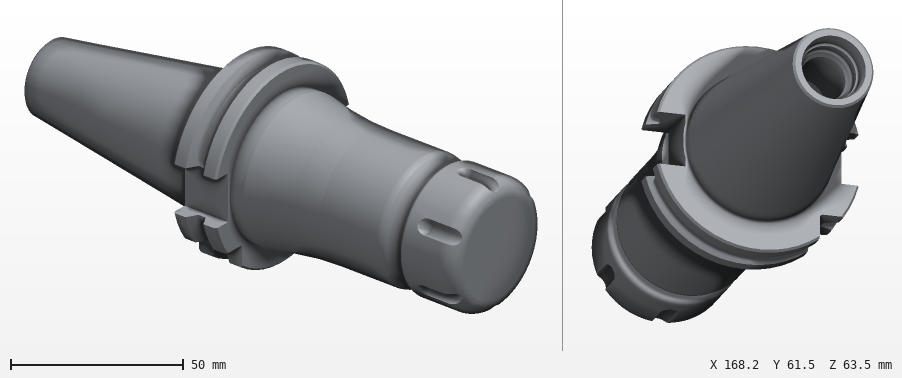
import cadquery as cq
import math

TOTAL_LENGTH = 168.2

TAPER_END_RADIUS = 12.3
TAPER_TOP_X = 68.0
GAUGE_RADIUS = 22.2
TAPER_BLEND_RADIUS = 6.7
END_CHAMFER = 0.7
FLANGE_ROOT_FILLET = 0.7

FLANGE_START_X = 71.3
FLANGE_END_X = 87.5
FLANGE_DIAMETER = 63.5
FLANGE_RADIUS = FLANGE_DIAMETER / 2
FLANGE_CHAMFER = 0.7
GROOVE_CENTRE_X = 79.4
GROOVE_TOP_WIDTH = 6.7
GROOVE_FLOOR_RADIUS = 28.3
GROOVE_HALF_ANGLE = 30.0
GROOVE_FLOOR_FILLET = 0.5

KEYWAY_WIDTH = 16.0
FRONT_KEYWAY_FLOOR = 25.2
BACK_KEYWAY_FLOOR = 22.2
NOTCH_INNER_Y = 18.7
NOTCH_TOP_Z = -18.2
NOTCH_FILLET = 1.0

COLLAR_RADIUS = 24.2
COLLAR_END_X = 92.5
BODY_RADIUS = 21.0
BODY_START_X = 118.5
BODY_BEVEL_X = 141.2
NECK_RADIUS = 17.0
BODY_BLEND_RADIUS = 2.9
NECK_BLEND_RADIUS = 1.3
NECK_START_X = BODY_BEVEL_X + BODY_RADIUS - NECK_RADIUS

MOUTH_RADIUS = 9.8
MOUTH_DEPTH = 2.0
COUNTERBORE_RADIUS = 9.3
COUNTERBORE_DEPTH = 5.2
PILOT_RADIUS = 8.5
PILOT_START_X = 5.5
PILOT_END_X = 8.7
LEAD_IN_RADIUS = 7.9
LEAD_IN_X = 9.1
THREAD_RADIUS = 6.9
THREAD_START_X = 10.5
THREAD_END_X = 30.3
DRILL_HALF_ANGLE = 59.0

NUT_START_X = 148.0
NUT_RADIUS = 21.0
NUT_REAR_FILLET = 1.5
NUT_FRONT_FILLET = 5.0
SPANNER_SLOTS = 6
SLOT_RADIUS = 2.5
SLOT_START_X = 156.1
SLOT_RUNOUT = 3.2
SLOT_CLEARANCE = 2.0

SELECT_MARGIN = 0.08


def turned(outline):
    """Revolve an outline of (x, radius) lines about the X axis."""
    return outline.close().revolve(360, (0, 0, 0), (1, 0, 0))


def rim(x, radius):
    """Selector for the circular edges at x that lie within the given radius of the X axis."""
    reach = radius + SELECT_MARGIN
    low = (x - SELECT_MARGIN, -reach, -reach)
    high = (x + SELECT_MARGIN, reach, reach)
    return cq.selectors.BoxSelector(low, high, boundingbox=True)


def taper_and_flange():
    groove_run = (FLANGE_RADIUS - GROOVE_FLOOR_RADIUS) * math.tan(math.radians(GROOVE_HALF_ANGLE))
    half_top = GROOVE_TOP_WIDTH / 2
    half_floor = half_top - groove_run
    shank = turned(
        cq.Workplane("XY")
        .moveTo(0, 0)
        .lineTo(0, TAPER_END_RADIUS - END_CHAMFER)
        .lineTo(END_CHAMFER, TAPER_END_RADIUS)
        .lineTo(TAPER_TOP_X, GAUGE_RADIUS)
        .lineTo(FLANGE_START_X, GAUGE_RADIUS)
        .lineTo(FLANGE_START_X, FLANGE_RADIUS - FLANGE_CHAMFER)
        .lineTo(FLANGE_START_X + FLANGE_CHAMFER, FLANGE_RADIUS)
        .lineTo(GROOVE_CENTRE_X - half_top, FLANGE_RADIUS)
        .lineTo(GROOVE_CENTRE_X - half_floor, GROOVE_FLOOR_RADIUS)
        .lineTo(GROOVE_CENTRE_X + half_floor, GROOVE_FLOOR_RADIUS)
        .lineTo(GROOVE_CENTRE_X + half_top, FLANGE_RADIUS)
        .lineTo(FLANGE_END_X - FLANGE_CHAMFER, FLANGE_RADIUS)
        .lineTo(FLANGE_END_X, FLANGE_RADIUS - FLANGE_CHAMFER)
        .lineTo(FLANGE_END_X, 0)
    )
    shank = shank.edges(rim(TAPER_TOP_X, GAUGE_RADIUS)).fillet(TAPER_BLEND_RADIUS)
    for floor_edge in (-half_floor, half_floor):
        corner = rim(GROOVE_CENTRE_X + floor_edge, GROOVE_FLOOR_RADIUS)
        shank = shank.edges(corner).fillet(GROOVE_FLOOR_FILLET)
    return shank.edges(rim(FLANGE_START_X, GAUGE_RADIUS)).fillet(FLANGE_ROOT_FILLET)


def flange_block(y_low, y_high, z_low, z_high):
    """Box as wide as the flange, between the given Y and Z limits."""
    width = FLANGE_END_X - FLANGE_START_X
    block = cq.Workplane("XY").box(width, y_high - y_low, z_high - z_low, centered=False)
    return block.translate((FLANGE_START_X, y_low, z_low))


def flange_cutouts():
    """Keyways at -Y and +Y, and a notch with a rounded inner corner at the lower -Y side."""
    half_key = KEYWAY_WIDTH / 2
    front_keyway = flange_block(-FLANGE_RADIUS, -FRONT_KEYWAY_FLOOR, -half_key, half_key)
    back_keyway = flange_block(BACK_KEYWAY_FLOOR, FLANGE_RADIUS, -half_key, half_key)
    notch = flange_block(-FLANGE_RADIUS, -NOTCH_INNER_Y, -FLANGE_RADIUS, NOTCH_TOP_Z)
    notch = notch.edges("|X and >Y and >Z").fillet(NOTCH_FILLET)
    return front_keyway.union(back_keyway).union(notch)


def body_and_neck():
    """Collar, concave flare tangent to the cylindrical body, blended bevel and neck."""
    flare_length = BODY_START_X - COLLAR_END_X
    flare_drop = COLLAR_RADIUS - BODY_RADIUS
    flare_radius = (flare_length**2 + flare_drop**2) / (2 * flare_drop)
    half_sweep = math.asin(flare_length / flare_radius) / 2
    flare_mid = (
        BODY_START_X - flare_radius * math.sin(half_sweep),
        BODY_RADIUS + flare_radius * (1 - math.cos(half_sweep)),
    )
    shaft = turned(
        cq.Workplane("XY")
        .moveTo(FLANGE_END_X, 0)
        .lineTo(FLANGE_END_X, COLLAR_RADIUS)
        .lineTo(COLLAR_END_X, COLLAR_RADIUS)
        .threePointArc(flare_mid, (BODY_START_X, BODY_RADIUS))
        .lineTo(BODY_BEVEL_X, BODY_RADIUS)
        .lineTo(NECK_START_X, NECK_RADIUS)
        .lineTo(NUT_START_X, NECK_RADIUS)
        .lineTo(NUT_START_X, 0)
    )

    shaft = shaft.edges(rim(BODY_BEVEL_X, BODY_RADIUS)).fillet(BODY_BLEND_RADIUS)
    return shaft.edges(rim(NECK_START_X, NECK_RADIUS)).fillet(NECK_BLEND_RADIUS)


def drawbar_bore():
    tip_x = THREAD_END_X + THREAD_RADIUS / math.tan(math.radians(DRILL_HALF_ANGLE))
    return turned(
        cq.Workplane("XY")
        .moveTo(0, 0)
        .lineTo(0, MOUTH_RADIUS)
        .lineTo(MOUTH_DEPTH, COUNTERBORE_RADIUS)
        .lineTo(COUNTERBORE_DEPTH, COUNTERBORE_RADIUS)
        .lineTo(PILOT_START_X, PILOT_RADIUS)
        .lineTo(PILOT_END_X, PILOT_RADIUS)
        .lineTo(LEAD_IN_X, LEAD_IN_RADIUS)
        .lineTo(THREAD_START_X, THREAD_RADIUS)
        .lineTo(THREAD_END_X, THREAD_RADIUS)
        .lineTo(tip_x, 0)
    )


def make_holder():
    shank = taper_and_flange().cut(flange_cutouts())
    return shank.union(body_and_neck()).cut(drawbar_bore())


def spanner_slot():
    """Round channel on the nut's top, with an oblique round run-out at its rear end."""
    section = cq.Workplane("YZ", origin=(SLOT_START_X, 0, NUT_RADIUS)).circle(SLOT_RADIUS)
    channel = section.extrude(TOTAL_LENGTH - SLOT_START_X)
    rise = cq.Vector(-SLOT_RUNOUT, 0, SLOT_RADIUS) * SLOT_CLEARANCE
    runout = cq.Solid.extrudeLinear(section.wires().val(), [], rise)
    return channel.union(cq.Workplane(runout))


def make_nut():
    nut = turned(
        cq.Workplane("XY")
        .moveTo(NUT_START_X, 0)
        .lineTo(NUT_START_X, NUT_RADIUS)
        .lineTo(TOTAL_LENGTH, NUT_RADIUS)
        .lineTo(TOTAL_LENGTH, 0)
    )
    nut = nut.faces(">X").edges().fillet(NUT_FRONT_FILLET)
    nut = nut.faces("<X").edges().fillet(NUT_REAR_FILLET)
    slot = spanner_slot()
    for index in range(SPANNER_SLOTS):
        nut = nut.cut(slot.rotate((0, 0, 0), (1, 0, 0), index * 360 / SPANNER_SLOTS))
    return nut


holder = make_holder()
nut = make_nut()
result = cq.Compound.makeCompound([holder.val(), nut.val()])